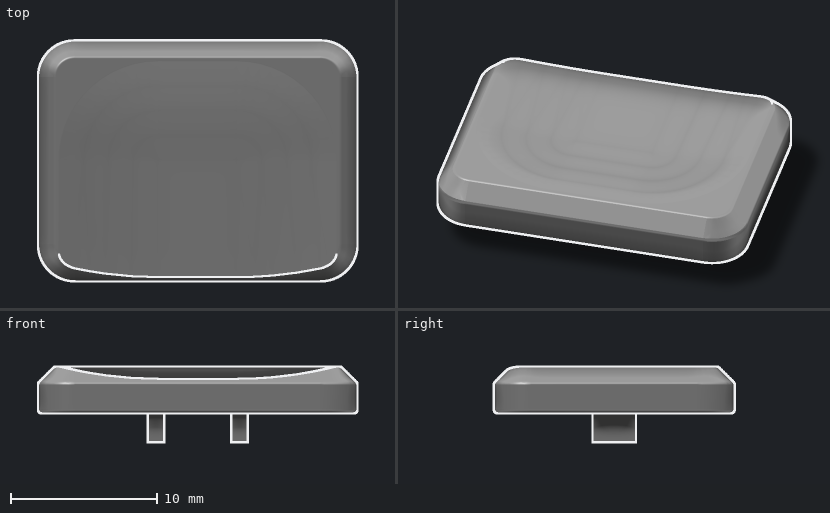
import cadquery as cq
import math

LENGTH = 21.88
WIDTH = 16.5
HEIGHT = 3.23
CORNER_RADIUS = 2.54
TOP_CHAMFER = 1.15
EDGE_FILLET = 0.3
SELECTION_MARGIN = 0.05

DISH_DEPTH = 0.85
DISH_RADIUS = 6.8
DISH_FLAT_LENGTH = 5.38
QUARTER_TURN = 90
CUT_CLEARANCE = 1.0

LEG_LENGTH = 1.15
LEG_WIDTH = 3.0
LEG_HEIGHT = 1.97
LEG_SPACING = 5.7


def make_body():
    """Rounded block with a chamfered top and softened edges."""
    block = (
        cq.Workplane("XY")
        .rect(LENGTH, WIDTH)
        .extrude(HEIGHT)
        .edges("|Z")
        .fillet(CORNER_RADIUS)
        .faces(">Z")
        .edges()
        .chamfer(TOP_CHAMFER)
    )
    shoulder_z = HEIGHT - TOP_CHAMFER
    shoulder = cq.selectors.BoxSelector(
        (-LENGTH, -WIDTH, shoulder_z - SELECTION_MARGIN),
        (LENGTH, WIDTH, shoulder_z + SELECTION_MARGIN),
    )
    block = block.edges(shoulder).fillet(EDGE_FILLET)
    return block.faces("<Z or >Z").edges().fillet(EDGE_FILLET)


def dish_profile(plane, side):
    """Half section of the dish: level at its deepest point, curving up to a rounded rim."""
    floor = HEIGHT - DISH_DEPTH
    arc_radius = (DISH_RADIUS**2 + DISH_DEPTH**2) / (2 * DISH_DEPTH)
    arc_centre_z = floor + arc_radius
    rim_centre_z = HEIGHT - EDGE_FILLET
    centre_distance = arc_radius + EDGE_FILLET
    drop = arc_centre_z - rim_centre_z
    angle = math.acos(drop / centre_distance)
    rim_x = centre_distance * math.sin(angle)

    def on_dish(turn):
        return (side * arc_radius * math.sin(turn), arc_centre_z - arc_radius * math.cos(turn))

    def on_rim(turn):
        x = rim_x - EDGE_FILLET * math.sin(turn)
        return (side * x, rim_centre_z + EDGE_FILLET * math.cos(turn))

    return (
        plane.moveTo(0, floor)
        .threePointArc(on_dish(angle / 2), on_dish(angle))
        .threePointArc(on_rim(angle / 2), on_rim(0))
        .lineTo(side * rim_x, HEIGHT + CUT_CLEARANCE)
        .lineTo(0, HEIGHT + CUT_CLEARANCE)
        .close()
    )


def make_dish():
    """Cutter: flat middle, curved flanks, and a curved back with two revolved corners."""
    front_reach = WIDTH / 2 + CUT_CLEARANCE
    cutter_height = DISH_DEPTH + CUT_CLEARANCE
    dish = cq.Workplane("XY", origin=(0, -front_reach / 2, HEIGHT - DISH_DEPTH)).box(
        DISH_FLAT_LENGTH, front_reach, cutter_height, centered=(True, True, False)
    )
    back_plane = cq.Workplane("YZ", origin=(-DISH_FLAT_LENGTH / 2, 0, 0))
    dish = dish.union(dish_profile(back_plane, 1).extrude(DISH_FLAT_LENGTH))
    for side in (-1, 1):
        plane = cq.Workplane("XZ", origin=(side * DISH_FLAT_LENGTH / 2, 0, 0))
        flank = dish_profile(plane, side).extrude(front_reach)
        corner = dish_profile(plane, side).revolve(QUARTER_TURN, (0, 0, 0), (0, side, 0))
        dish = dish.union(flank).union(corner)
    return dish


def make_legs():
    """Pair of legs, spaced along X and centred in Y."""
    return (
        cq.Workplane("XY")
        .pushPoints([(-LEG_SPACING / 2, 0), (LEG_SPACING / 2, 0)])
        .rect(LEG_LENGTH, LEG_WIDTH)
        .extrude(-LEG_HEIGHT)
    )


result = make_body().cut(make_dish()).union(make_legs())